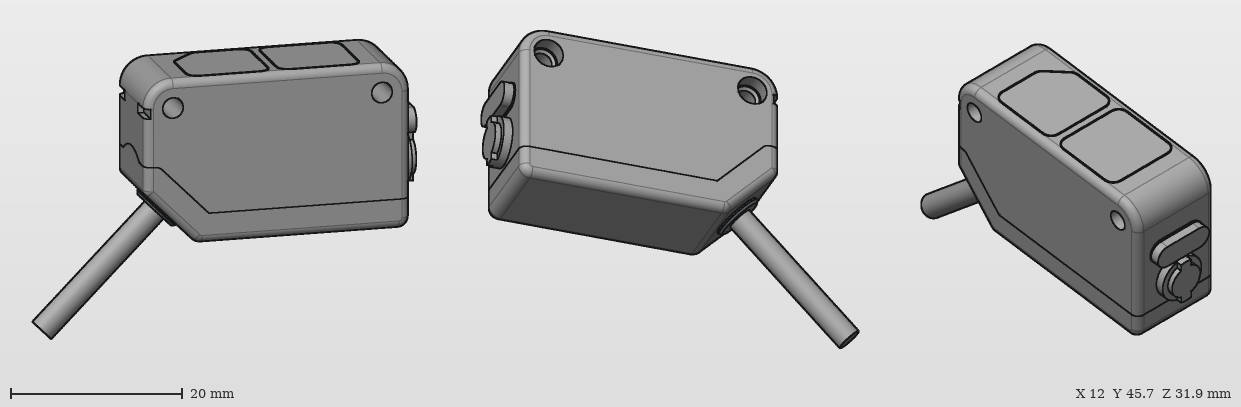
import cadquery as cq
import math


WIDTH = 12.0
LENGTH = 32.0
HEIGHT = 20.0
CORNER_CUT = 6.3
TOP_RADIUS = 3.4
BOTTOM_RADIUS = 1.35
FRONT_RADIUS = 1.0
SIDE_RADIUS = 1.0

BORE_RADIUS = 1.8
BORE_DEPTH = 2.0
SINK_RADIUS = 1.6
HOLE_RADIUS = 1.25
SINK_DEPTH = SINK_RADIUS - HOLE_RADIUS

NOTCH_WIDTH = 3.1
NOTCH_HEIGHT = 1.2
NOTCH_DEPTH = 0.75

LENS_SIZE = 9.95
LENS_RADIUS = 1.35
GROOVE_DEPTH = 0.1
GROOVE_WIDTH = 0.1
FRONT_LENS_Y = 5.58
LENS_GAP = 0.95
LENS_CUT = 3.05

BUTTON_LENGTH = 7.95
BUTTON_HEIGHT = 3.0
BUTTON_REACH = 1.35
BUTTON_Z = 12.1
PAD_HEIGHT = 3.3
PAD_REACH = 0.2
DIAL_RADIUS = 3.0
DIAL_REACH = 1.1
HUB_RADIUS = 2.2
HUB_REACH = 1.85
POINTER_WIDTH = 1.55
DIAL_Z = 7.15

PARTING_REAR_Z = 3.6
PARTING_FRONT_Z = 9.6
PARTING_SLOPE = 11.35
PARTING_RADIUS = 1.0
ARCH_RADIUS = 7.65
MARGIN = 4.55

COLLAR_RADIUS = 3.0
COLLAR_HEIGHT = 0.55
COLLAR_CHAMFER = 0.3
CABLE_RADIUS = 1.5
CABLE_LENGTH = 19.75


def along_cable(distance):
    """Workplane across the cable axis, facing outward, a distance inside the origin."""
    offset = distance / math.sqrt(2)
    return cq.Workplane(cq.Plane((0, offset, offset), (1, 0, 0), (0, -1, -1)))


def on_back_face(height):
    return cq.Workplane(cq.Plane((0, LENGTH, height), (-1, 0, 0), (0, 1, 0)))


def housing_block():
    outline = [
        (CORNER_CUT, 0),
        (LENGTH, 0),
        (LENGTH, HEIGHT),
        (0, HEIGHT),
        (0, CORNER_CUT),
    ]
    block = cq.Workplane("YZ").polyline(outline).close().extrude(WIDTH / 2, both=True)
    block = block.edges("|X and >Z").fillet(TOP_RADIUS)
    block = block.edges("|X and <Z").fillet(BOTTOM_RADIUS)
    front_edge = cq.selectors.NearestToPointSelector((0, 0, CORNER_CUT))
    block = block.edges(front_edge).fillet(FRONT_RADIUS)
    return block.faces("<X or >X").edges().fillet(SIDE_RADIUS)


def mounting_holes():
    hole_z = HEIGHT - TOP_RADIUS
    centres = [(TOP_RADIUS, hole_z), (LENGTH - TOP_RADIUS, hole_z)]
    side = cq.Workplane("YZ", origin=(-WIDTH / 2, 0, 0)).pushPoints(centres)
    through = side.circle(HOLE_RADIUS).extrude(WIDTH)
    bore = side.circle(BORE_RADIUS).extrude(BORE_DEPTH)
    sink = (
        cq.Workplane("YZ", origin=(-WIDTH / 2 + BORE_DEPTH, 0, 0))
        .pushPoints(centres)
        .circle(SINK_RADIUS)
        .extrude(SINK_DEPTH, taper=45)
    )
    return through.union(bore).union(sink)


def front_notches():
    notch_z = HEIGHT - TOP_RADIUS - NOTCH_HEIGHT / 2
    notch_x = (WIDTH - NOTCH_WIDTH) / 2
    return (
        cq.Workplane("XY")
        .pushPoints([(-notch_x, 0), (notch_x, 0)])
        .box(NOTCH_WIDTH, 2 * NOTCH_DEPTH, NOTCH_HEIGHT)
        .translate((0, 0, notch_z))
    )


def lens_groove(front_y, corner_cut=0):
    half = LENS_SIZE / 2
    window = (
        cq.Workplane("XY", origin=(0, front_y + half, HEIGHT))
        .rect(LENS_SIZE, LENS_SIZE)
        .extrude(-GROOVE_DEPTH)
    )
    if corner_cut:
        window = window.edges("|Z and <X and <Y").chamfer(corner_cut)
    window = window.edges("|Z").fillet(LENS_RADIUS)
    rim = window.faces(">Z").wires().toPending()
    pane = rim.offset2D(-GROOVE_WIDTH).extrude(-GROOVE_DEPTH, combine=False)
    return window.cut(pane)


def button():
    pad = on_back_face(BUTTON_Z).slot2D(BUTTON_LENGTH, PAD_HEIGHT).extrude(PAD_REACH)
    key = on_back_face(BUTTON_Z).slot2D(BUTTON_LENGTH, BUTTON_HEIGHT).extrude(BUTTON_REACH)
    return pad.union(key)


def dial():
    disc = on_back_face(DIAL_Z).circle(DIAL_RADIUS).extrude(DIAL_REACH)
    hub = on_back_face(DIAL_Z).circle(HUB_RADIUS).extrude(HUB_REACH)
    bar = on_back_face(DIAL_Z).rect(POINTER_WIDTH, 2 * DIAL_RADIUS).extrude(HUB_REACH)
    rim = on_back_face(DIAL_Z).circle(DIAL_RADIUS).extrude(HUB_REACH)
    return disc.union(hub).union(bar.intersect(rim))


def parting_tool():
    """Everything below the parting surface."""
    outline = [
        (-MARGIN, -MARGIN),
        (LENGTH + MARGIN, -MARGIN),
        (LENGTH + MARGIN, PARTING_REAR_Z),
        (PARTING_SLOPE - PARTING_REAR_Z, PARTING_REAR_Z),
        (PARTING_SLOPE - PARTING_FRONT_Z, PARTING_FRONT_Z),
        (-MARGIN, PARTING_FRONT_Z),
    ]
    prism = cq.Workplane("YZ").polyline(outline).close().extrude(WIDTH, both=True)
    bend = cq.selectors.NearestToPointSelector((0, PARTING_SLOPE - PARTING_FRONT_Z, PARTING_FRONT_Z))
    prism = prism.edges(bend).fillet(PARTING_RADIUS)
    arch_depth = PARTING_SLOPE / math.sqrt(2)
    arch = along_cable(arch_depth).circle(ARCH_RADIUS).extrude(arch_depth)
    return prism.union(arch)


def cable_exit():
    face_distance = CORNER_CUT / math.sqrt(2)
    collar = along_cable(face_distance).circle(COLLAR_RADIUS).extrude(COLLAR_HEIGHT)
    outward = cq.selectors.DirectionMinMaxSelector(cq.Vector(0, -1, -1))
    collar = collar.faces(outward).edges().chamfer(COLLAR_CHAMFER)
    cable = along_cable(face_distance).circle(CABLE_RADIUS).extrude(CABLE_LENGTH)
    return collar.union(cable)


block = housing_block()
below_parting = parting_tool()

case = (
    block.cut(below_parting)
    .cut(mounting_holes())
    .cut(front_notches())
    .cut(lens_groove(FRONT_LENS_Y, LENS_CUT))
    .cut(lens_groove(FRONT_LENS_Y + LENS_SIZE + LENS_GAP))
    .union(button())
    .union(dial())
)

base = block.intersect(below_parting).union(cable_exit())

result = cq.Compound.makeCompound([case.solids().val(), base.solids().val()])